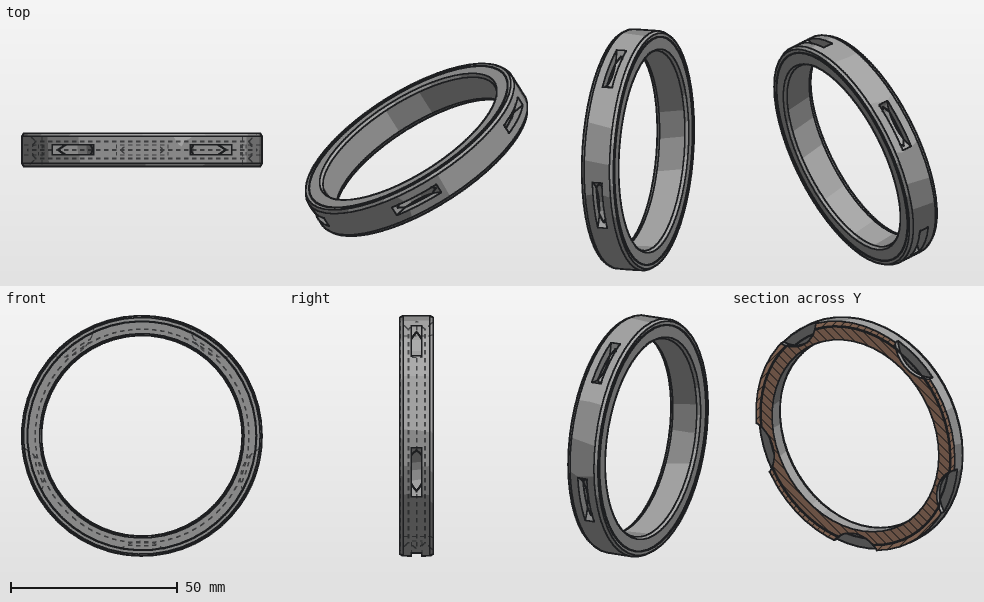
import cadquery as cq

OUTER_RADIUS = 36.0
BORE_RADIUS = 30.0
WIDTH = 10.1
HALF_WIDTH = WIDTH / 2

CHAMFER_RADIAL = 0.6
CHAMFER_AXIAL = 1.0

JOINT_RADIUS = 34.35
JOINT_GAP = 0.15
JOINT_FLAT = 0.3
JOINT_PITCH = HALF_WIDTH
JOINT_DEPTH = JOINT_PITCH / 2 - JOINT_FLAT

SLOT_COUNT = 5
FIRST_SLOT_ANGLE = -90.0
SLOT_WIDTH = 3.0
CUTTER_RADIUS = 9.9
CUTTER_CENTRE_RADIUS = 41.3


def revolve_about_y(outline):
    """Turn a closed (radius, y) outline into a full ring around the Y axis."""
    return cq.Workplane("XY").polyline(outline).close().revolve(360, (0, 0, 0), (0, 1, 0))


def joint_outline(crest_radius):
    """Labyrinth profile of the given crest radius, from the -Y face to the +Y face."""
    valley_radius = crest_radius - JOINT_DEPTH
    half_flat = JOINT_FLAT / 2
    points = [(crest_radius, -HALF_WIDTH)]
    for valley_y in (-JOINT_PITCH / 2, JOINT_PITCH / 2):
        points += [
            (crest_radius, valley_y - JOINT_PITCH / 2 + half_flat),
            (valley_radius, valley_y - half_flat),
            (valley_radius, valley_y + half_flat),
            (crest_radius, valley_y + JOINT_PITCH / 2 - half_flat),
        ]
    points.append((crest_radius, HALF_WIDTH))
    return points


def slot_cutters():
    """Discs standing at equal angles around the rim."""
    cutters = cq.Workplane("XZ", origin=(0, SLOT_WIDTH / 2, 0))
    cutters = cutters.polarArray(CUTTER_CENTRE_RADIUS, FIRST_SLOT_ANGLE, 360, SLOT_COUNT)
    return cutters.circle(CUTTER_RADIUS).extrude(SLOT_WIDTH)


def outer_ring():
    rim = [
        (OUTER_RADIUS - CHAMFER_RADIAL, HALF_WIDTH),
        (OUTER_RADIUS, HALF_WIDTH - CHAMFER_AXIAL),
        (OUTER_RADIUS, CHAMFER_AXIAL - HALF_WIDTH),
        (OUTER_RADIUS - CHAMFER_RADIAL, -HALF_WIDTH),
    ]
    return revolve_about_y(joint_outline(JOINT_RADIUS) + rim).cut(slot_cutters())


def inner_ring():
    bore = [
        (BORE_RADIUS + CHAMFER_RADIAL, HALF_WIDTH),
        (BORE_RADIUS, HALF_WIDTH - CHAMFER_AXIAL),
        (BORE_RADIUS, CHAMFER_AXIAL - HALF_WIDTH),
        (BORE_RADIUS + CHAMFER_RADIAL, -HALF_WIDTH),
    ]
    return revolve_about_y(joint_outline(JOINT_RADIUS - JOINT_GAP) + bore).cut(slot_cutters())


housing = outer_ring()
rotor = inner_ring()

result = cq.Compound.makeCompound([housing.val(), rotor.val()])